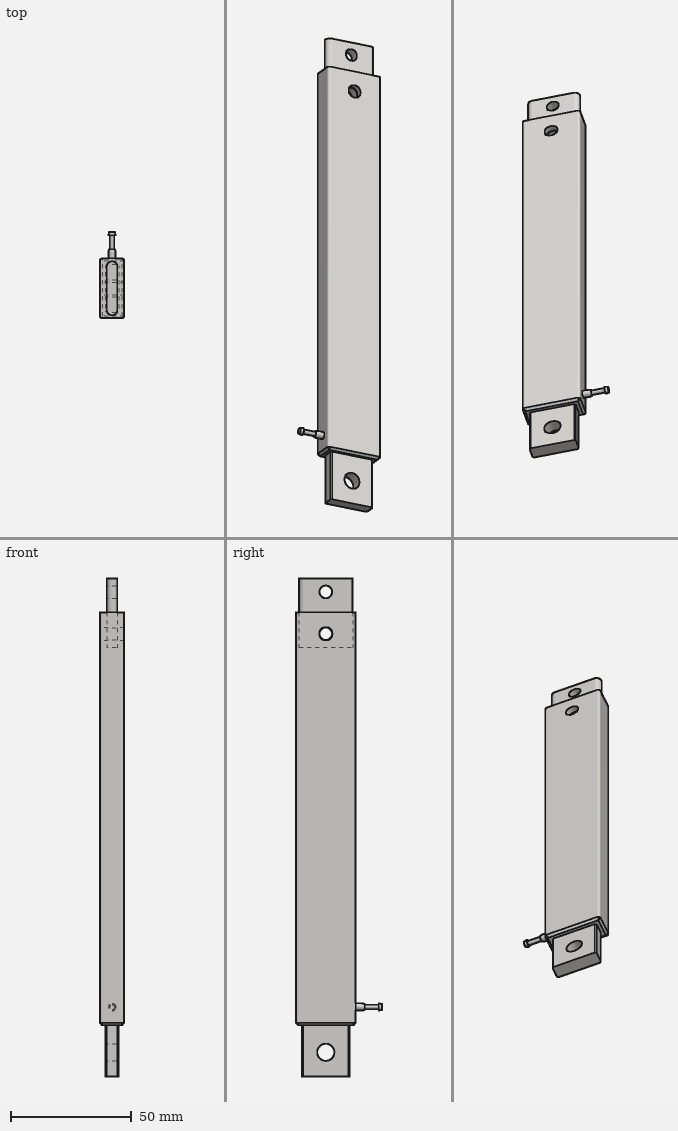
import cadquery as cq

TOTAL_HEIGHT = 206.0

HOUSING_WIDTH = 10.0
HOUSING_DEPTH = 24.7
HOUSING_BOTTOM = 21.2
HOUSING_TOP = 192.0
HOUSING_CORNER = 1.0
HOUSING_END_CHAMFER = 1.0
HOUSING_HOLE_DIAMETER = 5.5
HOUSING_HOLE_DROP = 8.9

LUG_WIDTH = 5.5
LUG_DEPTH = 19.8
LUG_CHAMFER = 0.6
LUG_HOLE_DIAMETER = 7.0
LUG_HOLE_HEIGHT = 10.0

NIPPLE_HEIGHT = 28.8
NIPPLE_LENGTH = 11.0
NIPPLE_DIAMETER = 3.0
NIPPLE_TIP_DIAMETER = 2.5
NIPPLE_NECK_DIAMETER = 2.0
NIPPLE_COLLAR_LENGTH = 3.7
NIPPLE_COLLAR_TAPER = 1.0
NIPPLE_HEAD_LENGTH = 1.5

BAR_THICKNESS = 4.5
BAR_DEPTH = 22.2
BAR_HOLE_DIAMETER = 5.1
BAR_HOLE_MARGIN = 5.5

HOUSING_HOLE_HEIGHT = HOUSING_TOP - HOUSING_HOLE_DROP
BAR_BOTTOM = HOUSING_HOLE_HEIGHT - BAR_HOLE_MARGIN


def cross_hole(diameter, height):
    """Cylinder along X that passes through the whole width at the given height."""
    return (
        cq.Workplane("YZ")
        .center(0, height)
        .circle(diameter / 2)
        .extrude(HOUSING_WIDTH, both=True)
    )


def bar_blank():
    """Bar with full-round long edges, from its inner end to the top of the part."""
    return (
        cq.Workplane("XY", origin=(0, 0, BAR_BOTTOM))
        .slot2D(BAR_DEPTH, BAR_THICKNESS, 90)
        .extrude(TOTAL_HEIGHT - BAR_BOTTOM)
    )


def make_nipple():
    """Tapered collar, thin neck and tapered head, revolved about an axis along Y."""
    root = HOUSING_DEPTH / 2
    tip = root + NIPPLE_LENGTH
    collar_end = root + NIPPLE_COLLAR_LENGTH
    head_start = tip - NIPPLE_HEAD_LENGTH
    outer_radius = NIPPLE_DIAMETER / 2
    neck_radius = NIPPLE_NECK_DIAMETER / 2
    tip_radius = NIPPLE_TIP_DIAMETER / 2
    return (
        cq.Workplane("XY", origin=(0, 0, NIPPLE_HEIGHT))
        .moveTo(0, root)
        .lineTo(outer_radius, root)
        .lineTo(outer_radius, collar_end - NIPPLE_COLLAR_TAPER)
        .lineTo(tip_radius, collar_end)
        .lineTo(neck_radius, collar_end)
        .lineTo(neck_radius, head_start)
        .lineTo(outer_radius, head_start)
        .lineTo(tip_radius, tip)
        .lineTo(0, tip)
        .close()
        .revolve(360, (0, 0, 0), (0, 1, 0))
    )


def make_lug():
    """Flat lug with bevelled long edges that ends at the underside of the housing."""
    return (
        cq.Workplane("XY")
        .rect(LUG_WIDTH, LUG_DEPTH)
        .extrude(HOUSING_BOTTOM)
        .edges("|Z")
        .chamfer(LUG_CHAMFER)
        .cut(cross_hole(LUG_HOLE_DIAMETER, LUG_HOLE_HEIGHT))
    )


def make_housing():
    """Rounded column with its lug and nipple, and a recess for the bar."""
    column = (
        cq.Workplane("XY", origin=(0, 0, HOUSING_BOTTOM))
        .rect(HOUSING_WIDTH, HOUSING_DEPTH)
        .extrude(HOUSING_TOP - HOUSING_BOTTOM)
        .edges("|Z")
        .fillet(HOUSING_CORNER)
        .faces("<Z")
        .chamfer(HOUSING_END_CHAMFER)
    )
    column = column.cut(bar_blank())
    column = column.cut(cross_hole(HOUSING_HOLE_DIAMETER, HOUSING_HOLE_HEIGHT))
    return column.union(make_lug()).union(make_nipple())


def make_bar():
    """Bar with one hole near each end, the inner one lined up with the housing hole."""
    bar = bar_blank()
    for height in (HOUSING_HOLE_HEIGHT, TOTAL_HEIGHT - BAR_HOLE_MARGIN):
        bar = bar.cut(cross_hole(BAR_HOLE_DIAMETER, height))
    return bar


housing = make_housing()
bar = make_bar()
result = cq.Compound.makeCompound([housing.val(), bar.val()])